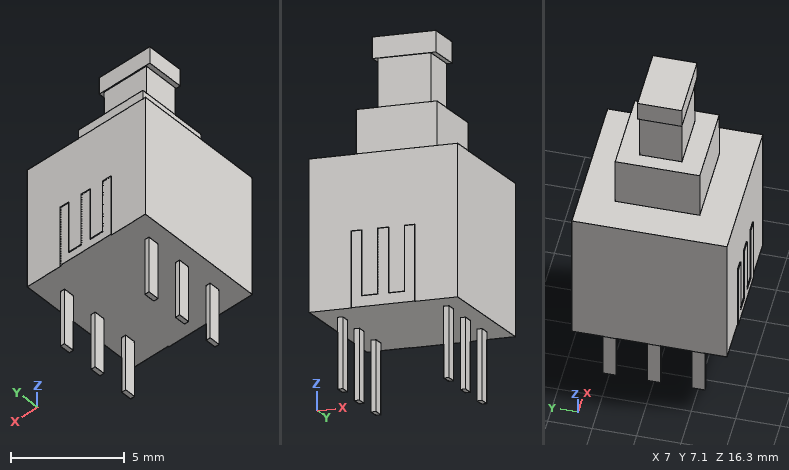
import cadquery as cq

body_side = 7.0
body_height = 7.0
plate_top = body_height / 2

collar_side = 3.8
collar_height = 2.5
stem_x = 2.5
stem_y = 1.9
stem_height = 2.5
cap_x = 3.0
cap_y = 2.0
overall_height = 16.27
cap_height = 1.0

plate_width = 3.0
plate_thickness = 0.05
slot_width = 0.75
slot_height = 3.0
slot_pitch = 1.27

pin_x = 0.25
pin_y = 0.59
pin_row_spacing = 5.0
pin_pitch = 2.0
pin_length = overall_height - body_height - collar_height - stem_height - cap_height


def block(size_x, size_y, height, bottom, center_x=0, center_y=0):
    """Upright box centred on (center_x, center_y), standing on Z = bottom."""
    return (
        cq.Workplane("XY")
        .box(size_x, size_y, height, centered=(True, True, False))
        .translate((center_x, center_y, bottom))
    )


def slotted_plate(side):
    """Thin plate on the -Y (side = -1) or +Y (side = 1) face, with two open-topped slots."""
    center_y = side * (body_side + plate_thickness) / 2
    plate = block(plate_width, plate_thickness, plate_top, 0, center_y=center_y)
    for slot_side in (-1, 1):
        slot_x = slot_side * slot_pitch / 2
        slot = block(slot_width, plate_thickness, slot_height, plate_top - slot_height, slot_x, center_y)
        plate = plate.cut(slot)
    return plate


collar_top = body_height + collar_height
stem_top = collar_top + stem_height
result = block(body_side, body_side, body_height, 0)
result = result.union(block(collar_side, collar_side, collar_height, body_height))
result = result.union(block(stem_x, stem_y, stem_height, collar_top))
result = result.union(block(cap_x, cap_y, cap_height, stem_top))

for side in (-1, 1):
    result = result.union(slotted_plate(side))

for row in (-1, 1):
    for position in (-1, 0, 1):
        pin = block(pin_x, pin_y, pin_length, -pin_length, row * pin_row_spacing / 2, position * pin_pitch)
        result = result.union(pin)